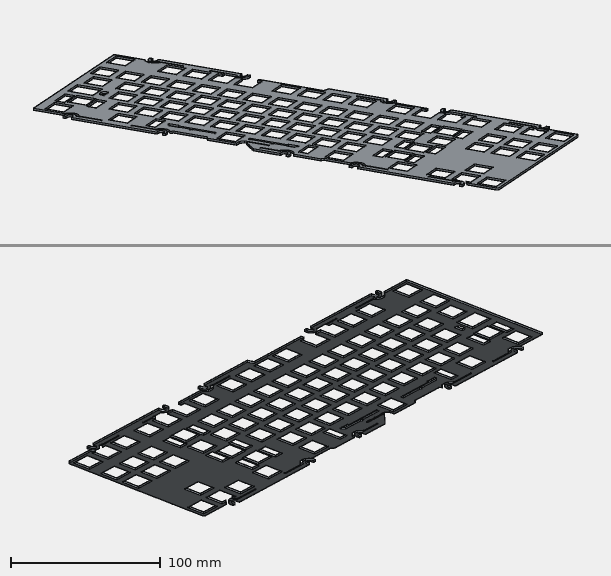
import cadquery as cq


PLATE_LENGTH = 348.11
OVERALL_DEPTH = 128.26
BODY_DEPTH = 119.0
THICKNESS = 1.5
CORNER_RADIUS = 1.5
TAB_TIP = OVERALL_DEPTH / 2
BODY_EDGE = BODY_DEPTH / 2

KEY_PITCH = 19.05
KEYS_ACROSS = 18.25
ROW_SPAN = 5.25
KEY_OFFSET = 0.15
SWITCH_SIZE = 14.0

STABILIZER_WIDTH = 7.0
STABILIZER_HEIGHT = 15.0
STABILIZER_SHIFT = 1.5
STABILIZER_REACH = 11.94
SPACE_BAR_REACH = 3 * KEY_PITCH

TAB_INNER_EDGE = 60.4
SLIT_WIDTH = 0.9
SLIT_FLOOR = TAB_INNER_EDGE - SLIT_WIDTH
HOOK_CENTER = 62.0
HOOK_INNER_RADIUS = 2.1
HOOK_OUTER_RADIUS = 4.2
RELIEF_RADIUS = 6.1
WIDE_RELIEF_HALF = 13.0


def unit_x(unit):
    """X of a position measured in key units from the left side of the keyboard."""
    return (unit - KEYS_ACROSS / 2) * KEY_PITCH


def unit_y(unit):
    """Y of a position measured in key units below the function row."""
    return (ROW_SPAN / 2 - unit) * KEY_PITCH + KEY_OFFSET


def run(first, count):
    """Key centres one unit apart."""
    return [first + i for i in range(count)]


FUNCTION_ROW = 0
NUMBER_ROW = 1.25
TOP_ROW = 2.25
HOME_ROW = 3.25
SHIFT_ROW = 4.25
SPACE_ROW = ROW_SPAN
BACKSPACE = 14
ENTER = 13.875
LEFT_SHIFT = 1.125
RIGHT_SHIFT = 13.625
SPACE_BAR = 7.5
UP_ARROW = 16.75
NAVIGATION = run(15.75, 3)
CAPS_LOCK = [0.625, 0.875]
KEY_ROWS = {
    FUNCTION_ROW: [0.5] + run(2.5, 4) + run(7, 4) + run(11.5, 4) + NAVIGATION,
    NUMBER_ROW: run(0.5, 13) + [BACKSPACE] + NAVIGATION,
    TOP_ROW: [0.75] + run(2, 12) + [14.25] + NAVIGATION,
    HOME_ROW: run(2.25, 11) + [ENTER],
    SHIFT_ROW: [LEFT_SHIFT] + run(2.75, 10) + [RIGHT_SHIFT, UP_ARROW],
    SPACE_ROW: [0.75, 3.25, SPACE_BAR, 11.75, 14.25] + NAVIGATION,
}

STABILIZED_KEYS = [
    (BACKSPACE, NUMBER_ROW, STABILIZER_REACH, -1),
    (ENTER, HOME_ROW, STABILIZER_REACH, 1),
    (LEFT_SHIFT, SHIFT_ROW, STABILIZER_REACH, -1),
    (RIGHT_SHIFT, SHIFT_ROW, STABILIZER_REACH, -1),
    (SPACE_BAR, SPACE_ROW, SPACE_BAR_REACH, 1),
]

BACK, FRONT = 1, -1
BACK_HOOKS = [unit_x(unit) for unit in (1.5, 5, 10.75, 13, 16.75)]
FRONT_HOOKS = [unit_x(unit) for unit in (1.5, 5.08, 9.94, 12.75, 16.75)]
HOOKS = [(BACK, x) for x in BACK_HOOKS] + [(FRONT, x) for x in FRONT_HOOKS]
WIDE_RELIEF_HOOKS = [BACK_HOOKS[1], BACK_HOOKS[3]]

STEP_RUN = 1.5
BACK_MIDDLE_TAB_START = -15.6
RECESS_START = -72.0
RECESS_END = -45.0
RECESS_EDGE = -57.2
LEDGE_START = FRONT_HOOKS[2]
LEDGE_END = 42.3
LEDGE_EDGE = -61.4

NOTCH_LEFT = -21.7
NOTCH_RIGHT = -16.5
NOTCH_TOP = -52.9
NOTCH_CHAMFER = 2.5
NOTCH_SLIT_END = -0.7
NOTCH_SLIT_BOTTOM = -54.0
NOTCH_SLANT_TOP = -55.3
NOTCH_SLANT_END = -6.9

TAB_BARS = [
    (BACK, BACK_HOOKS[0], BACK_HOOKS[1]),
    (BACK, BACK_MIDDLE_TAB_START, BACK_HOOKS[2]),
    (BACK, BACK_HOOKS[3], BACK_HOOKS[4]),
    (FRONT, FRONT_HOOKS[0], FRONT_HOOKS[1]),
    (FRONT, NOTCH_RIGHT, FRONT_HOOKS[2]),
    (FRONT, FRONT_HOOKS[3], FRONT_HOOKS[4]),
]

SLITS = [
    (BACK, BACK_HOOKS[0], -122.6),
    (BACK, BACK_HOOKS[1], -102.5),
    (BACK, BACK_HOOKS[2], 7.5),
    (BACK, BACK_HOOKS[3], 96.8),
    (BACK, BACK_HOOKS[4], 121.8),
    (FRONT, FRONT_HOOKS[0], -122.6),
    (FRONT, FRONT_HOOKS[1], -100.3),
    (FRONT, FRONT_HOOKS[2], -3.8),
    (FRONT, FRONT_HOOKS[3], 91.5),
    (FRONT, FRONT_HOOKS[4], 121.8),
]

SLOT_INNER_END = 12.6
SLOT_NECK = 41.0
SLOT_OUTER_END = 48.7
SLOT_BOTTOM = -48.8
SLOT_TOP = -46.7
SLOT_WIDE_TOP = -45.5
SLOT_BEVEL = 1.9
SLOT_BUMP_REACH = 30.4
SLOT_BUMP_RADIUS = 0.9

CAPS_HOLE_LEFT = -147.8
CAPS_HOLE_RIGHT = -143.6
CAPS_HOLE_BOTTOM = -15.4
CAPS_HOLE_TOP = -8.4
CAPS_HOLE_RADIUS = 2.5


def box(x_a, x_b, y_a, y_b):
    """Full-thickness block between two X and two Y positions, given in any order."""
    block = cq.Workplane("XY").center((x_a + x_b) / 2, (y_a + y_b) / 2)
    return block.rect(abs(x_b - x_a), abs(y_b - y_a)).extrude(THICKNESS)


def boxes(centers, width, height):
    """Equal full-thickness blocks, clear of each other."""
    return cq.Workplane("XY").pushPoints(centers).rect(width, height).extrude(THICKNESS)


def disc(x, y, radius):
    return cq.Workplane("XY").center(x, y).circle(radius).extrude(THICKNESS)


def polygon(points):
    return cq.Workplane("XY").polyline(points).close().extrude(THICKNESS)


def make_body():
    body = boxes([(0, 0)], PLATE_LENGTH, BODY_DEPTH)
    body = body.edges("|Z and >X").fillet(CORNER_RADIUS)
    ledge = polygon([
        (LEDGE_START, RECESS_EDGE),
        (LEDGE_START, LEDGE_EDGE),
        (LEDGE_END, LEDGE_EDGE),
        (LEDGE_END + STEP_RUN, -BODY_EDGE),
        (LEDGE_END + STEP_RUN, RECESS_EDGE),
    ])
    recess = polygon([
        (RECESS_START, -BODY_EDGE),
        (RECESS_START + STEP_RUN, RECESS_EDGE),
        (RECESS_END, RECESS_EDGE),
        (RECESS_END + STEP_RUN, -BODY_EDGE),
    ])
    return body.union(ledge).cut(recess)


def add_tab_bars(body):
    for side, start, end in TAB_BARS:
        body = body.union(box(start, end, side * SLIT_FLOOR, side * TAB_TIP))
    slanted_step = polygon([
        (BACK_MIDDLE_TAB_START, TAB_TIP),
        (BACK_MIDDLE_TAB_START - STEP_RUN, BODY_EDGE),
        (BACK_MIDDLE_TAB_START, BODY_EDGE),
    ])
    return body.union(slanted_step)


def cut_reliefs(body):
    """Clear the space around the hooks and slit the bars free from the body."""
    for side, x in HOOKS:
        body = body.cut(disc(x, side * HOOK_CENTER, RELIEF_RADIUS))
    for side, hook_x, closed_end in SLITS:
        body = body.cut(box(hook_x, closed_end, side * SLIT_FLOOR, side * TAB_INNER_EDGE))
    relief_floor = HOOK_CENTER - RELIEF_RADIUS
    for x in WIDE_RELIEF_HOOKS:
        body = body.cut(box(x - WIDE_RELIEF_HALF, x + WIDE_RELIEF_HALF, relief_floor, TAB_INNER_EDGE))
    return body


def u_shape(side, x, radius):
    """Half disc whose straight sides run on to the tab tip."""
    center_y = side * HOOK_CENTER
    tip_y = side * TAB_TIP
    shape = disc(x, center_y, radius).union(box(x - radius, x + radius, center_y, tip_y))
    return shape.intersect(box(x - radius, x + radius, 0, tip_y))


def add_hooks(body):
    for side, x in HOOKS:
        body = body.union(u_shape(side, x, HOOK_OUTER_RADIUS))
    for side, start, end in TAB_BARS:
        body = body.union(box(start, end, side * TAB_INNER_EDGE, side * TAB_TIP))
    for side, x in HOOKS:
        body = body.cut(u_shape(side, x, HOOK_INNER_RADIUS))
    return body


def cut_switches(body):
    centers = [(unit_x(key), unit_y(row)) for row, keys in KEY_ROWS.items() for key in keys]
    body = body.cut(boxes(centers, SWITCH_SIZE, SWITCH_SIZE))
    for key in CAPS_LOCK:
        body = body.cut(boxes([(unit_x(key), unit_y(HOME_ROW))], SWITCH_SIZE, SWITCH_SIZE))
    return body


def cut_stabilizers(body):
    for key, row, reach, direction in STABILIZED_KEYS:
        y = unit_y(row) + direction * STABILIZER_SHIFT
        centers = [(unit_x(key) - reach, y), (unit_x(key) + reach, y)]
        body = body.cut(boxes(centers, STABILIZER_WIDTH, STABILIZER_HEIGHT))
    return body


def cut_space_bar_slots(body):
    middle = unit_x(SPACE_BAR)
    outline = [
        (SLOT_INNER_END, SLOT_BOTTOM),
        (SLOT_OUTER_END - SLOT_BEVEL, SLOT_BOTTOM),
        (SLOT_OUTER_END, SLOT_TOP),
        (SLOT_OUTER_END, SLOT_WIDE_TOP),
        (SLOT_NECK, SLOT_WIDE_TOP),
        (SLOT_NECK, SLOT_TOP),
        (SLOT_INNER_END, SLOT_TOP),
    ]
    for mirror in (-1, 1):
        body = body.cut(polygon([(middle + mirror * x, y) for x, y in outline]))
        body = body.cut(disc(middle + mirror * SLOT_BUMP_REACH, SLOT_BOTTOM, SLOT_BUMP_RADIUS))
    return body


def cut_caps_lock_hole(body):
    hole = box(CAPS_HOLE_LEFT, CAPS_HOLE_RIGHT, CAPS_HOLE_BOTTOM, CAPS_HOLE_TOP)
    return body.cut(hole.edges("|Z and <X").fillet(CAPS_HOLE_RADIUS))


def cut_front_notch(body):
    notch = polygon([
        (NOTCH_LEFT, -TAB_TIP),
        (NOTCH_LEFT, NOTCH_TOP - NOTCH_CHAMFER),
        (NOTCH_LEFT + NOTCH_CHAMFER, NOTCH_TOP),
        (NOTCH_SLIT_END, NOTCH_TOP),
        (NOTCH_SLIT_END, NOTCH_SLIT_BOTTOM),
        (NOTCH_RIGHT, NOTCH_SLIT_BOTTOM),
        (NOTCH_RIGHT, NOTCH_SLANT_TOP),
        (NOTCH_SLANT_END, -TAB_TIP),
    ])
    return body.cut(notch)


result = make_body()
result = add_tab_bars(result)
result = cut_reliefs(result)
result = add_hooks(result)
result = cut_space_bar_slots(result)
result = cut_caps_lock_hole(result)
result = cut_front_notch(result)
result = cut_stabilizers(result)
result = cut_switches(result)